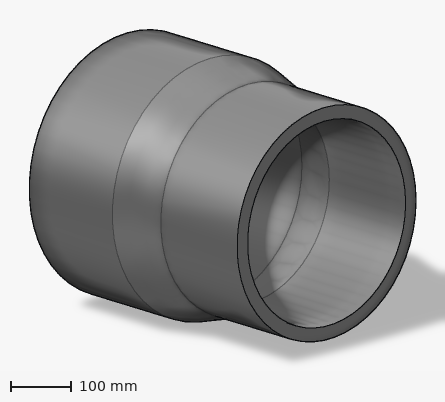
import cadquery as cq

total_length = 480.0
large_length = 203.0
taper_length = 90.5
large_outer_diameter = 450.0
large_bore_diameter = 396.5
small_outer_diameter = 400.0
small_bore_diameter = 353.0

taper_end = large_length + taper_length


def revolved_body(large_diameter, small_diameter):
    """Solid of two coaxial cylinders joined by a straight cone."""
    large_radius = large_diameter / 2
    small_radius = small_diameter / 2
    return (
        cq.Workplane("XY")
        .moveTo(0, 0)
        .lineTo(0, large_radius)
        .lineTo(large_length, large_radius)
        .lineTo(taper_end, small_radius)
        .lineTo(total_length, small_radius)
        .lineTo(total_length, 0)
        .close()
        .revolve(360, (0, 0, 0), (1, 0, 0))
    )


outer_body = revolved_body(large_outer_diameter, small_outer_diameter)
bore = revolved_body(large_bore_diameter, small_bore_diameter)

result = outer_body.cut(bore)